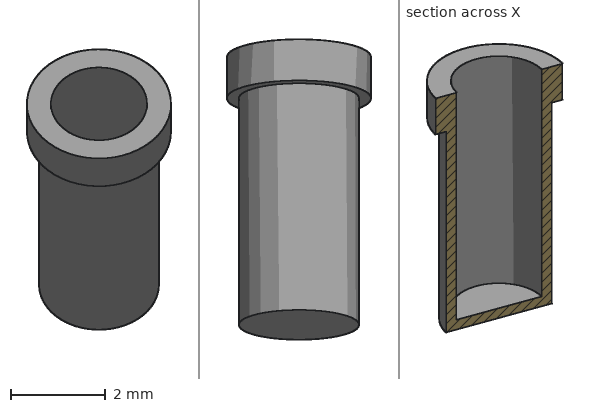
import cadquery as cq

total_height = 5.84
flange_diameter = 3.05
flange_height = 0.9
body_diameter = 2.54
bore_diameter = 2.03

floor_thickness = (body_diameter - bore_diameter) / 2
bore_depth = total_height - floor_thickness

body = cq.Workplane("XY").circle(body_diameter / 2).extrude(total_height)

flange = (
    cq.Workplane("XY")
    .workplane(offset=total_height - flange_height)
    .circle(flange_diameter / 2)
    .extrude(flange_height)
)

bore = (
    cq.Workplane("XY")
    .workplane(offset=floor_thickness)
    .circle(bore_diameter / 2)
    .extrude(bore_depth)
)

result = body.union(flange).cut(bore)